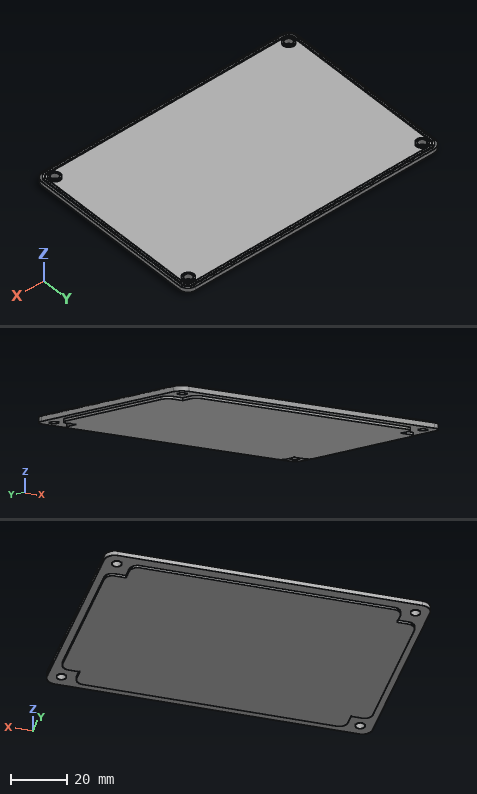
import cadquery as cq

length = 120.0
width = 82.0
corner_radius = 4.0

plug_height = 1.0
flange_height = 2.0
lip_height = 0.5
flange_top = plug_height + flange_height
total_height = flange_top + lip_height

lip_inset = 1.0
lip_thickness = 1.0

plug_inset_x = 2.9
plug_inset_y = 3.8
notch_size = 7.2
plug_corner_radius = 3.1

hole_inset = 5.0
hole_diameter = 3.5
boss_diameter = 5.0
hole_points = [
    (x_side * (length / 2 - hole_inset), y_side * (width / 2 - hole_inset))
    for x_side in (-1, 1)
    for y_side in (-1, 1)
]

def inset_plate(inset, bottom, height):
    """Rounded plate whose sides lie a constant distance inside the outer edge."""
    return (
        cq.Workplane("XY", origin=(0, 0, bottom))
        .rect(length - 2 * inset, width - 2 * inset)
        .extrude(height)
        .edges("|Z")
        .fillet(corner_radius - inset)
    )

def rounded_bar(size_x, size_y):
    """Rectangular layer of the plug with rounded outer corners."""
    return (
        cq.Workplane("XY")
        .rect(size_x, size_y)
        .extrude(plug_height)
        .edges("|Z")
        .fillet(plug_corner_radius)
    )

def stepped_plug():
    """Two crossed bars leave a square step at every corner."""
    plug_length = length - 2 * plug_inset_x
    plug_width = width - 2 * plug_inset_y
    long_bar = rounded_bar(plug_length, plug_width - 2 * notch_size)
    wide_bar = rounded_bar(plug_length - 2 * notch_size, plug_width)
    return long_bar.union(wide_bar)

def corner_cylinders(diameter, bottom, top):
    """One cylinder on each screw axis."""
    return (
        cq.Workplane("XY", origin=(0, 0, bottom))
        .pushPoints(hole_points)
        .circle(diameter / 2)
        .extrude(top - bottom)
    )

flange = inset_plate(0, plug_height, flange_height)
lip = inset_plate(lip_inset, flange_top, lip_height)
recess = inset_plate(lip_inset + lip_thickness, flange_top, lip_height)
bosses = corner_cylinders(boss_diameter, flange_top, total_height)
screw_holes = corner_cylinders(hole_diameter, 0, total_height)

result = flange.union(lip).union(stepped_plug()).cut(recess).union(bosses).cut(screw_holes)